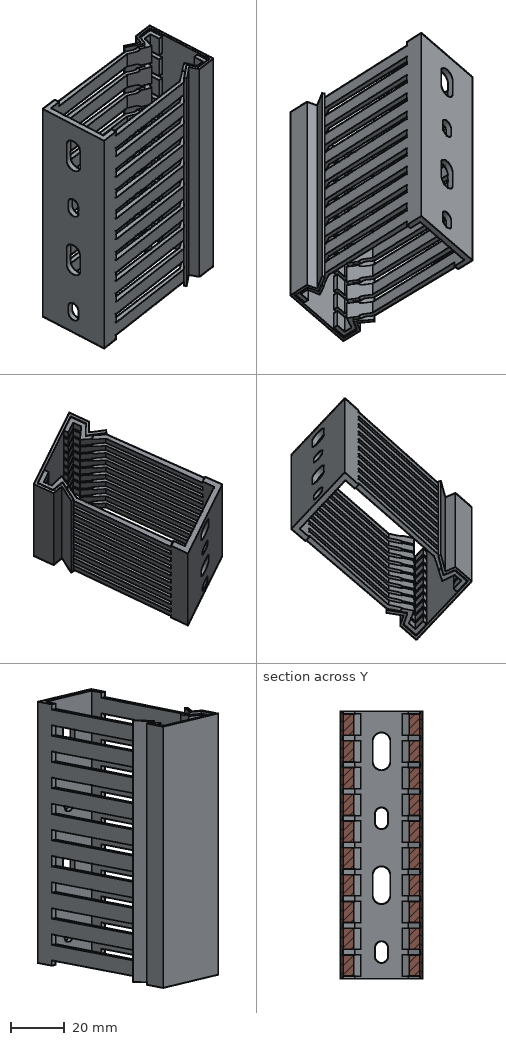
import cadquery as cq
import math


length = 100.0
depth = 63.6
cover_width = 30.8

cover_thickness = 1.1
cover_inner_half = cover_width / 2 - cover_thickness
cover_inner_y = depth - cover_thickness

shoulder_y = 56.1
notch_half = 10.0
notch_y = 54.2
flare_half = 14.3
flare_y = 47.6

base_half_width = 14.9
base_thickness = 2.3
inner_half_width = 12.7
inner_bend_y = 47.1
inner_notch_half = 7.8
inner_notch_y = 55.6
inner_shoulder_y = 57.4
lip_thickness = 1.8
lip_end_half = 8.5

pitch = 10.0
gap_width = 4.0
gap_start_y = 7.1
gap_round_y = 50.0
slit_width = 2.0

hole_spacing = 25.0
first_hole_z = 10.0
large_hole_length = 14.0
large_hole_width = 6.5
small_hole_length = 8.0
small_hole_width = 4.8


def snap_line():
    """Right half of the snap line, from the cover's free edge to its inner corner."""
    return [
        (flare_half, flare_y),
        (notch_half, notch_y),
        (cover_inner_half, shoulder_y),
        (cover_inner_half, cover_inner_y),
    ]


def left_normal(start, end):
    """Unit vector to the left of the direction from start to end."""
    dx = end[0] - start[0]
    dy = end[1] - start[1]
    span = math.hypot(dx, dy)
    return (-dy / span, dx / span)


def offset_right(path, distance):
    """Parallel copy of an open path on its right side, with sharp corners."""
    normals = [left_normal(a, b) for a, b in zip(path, path[1:])]
    before = [normals[0]] + normals
    after = normals + [normals[-1]]
    moved = []
    for (x, y), n, m in zip(path, before, after):
        reach = distance / (1 + n[0] * m[0] + n[1] * m[1])
        moved.append((x - reach * (n[0] + m[0]), y - reach * (n[1] + m[1])))
    return moved


def extrude_symmetric(right_half):
    """Extrude an outline along Z, given its right half; the left half mirrors it."""
    left_half = [(-x, y) for x, y in reversed(right_half)]
    return cq.Workplane("XY").polyline(right_half + left_half).close().extrude(length)


def make_cover():
    """Sheet of even thickness that follows the snap line."""
    inner = snap_line()
    outer = offset_right(inner + [(0, cover_inner_y)], cover_thickness)[:-1]
    return extrude_symmetric(list(reversed(inner)) + outer)


def duct_channel():
    """Duct without gaps and holes, its outside lying against the cover."""
    outside = [(base_half_width, 0)] + snap_line()
    inside = [
        (lip_end_half, cover_inner_y),
        (lip_end_half, cover_inner_y - lip_thickness),
        (inner_half_width, cover_inner_y - lip_thickness),
        (inner_half_width, inner_shoulder_y),
        (inner_notch_half, inner_notch_y),
        (inner_half_width, inner_bend_y),
        (inner_half_width, base_thickness),
    ]
    return extrude_symmetric(outside + inside)


def finger_gap(z):
    """Cutter for one gap: wide between the fingers, round-ended, then a slit."""
    radius = gap_width / 2
    reach = 2 * cover_width
    straight = gap_round_y - gap_start_y
    side = cq.Workplane("YZ", origin=(-reach / 2, 0, z))
    wide = side.center(gap_start_y + straight / 2, 0).rect(straight, gap_width).extrude(reach)
    round_end = side.center(gap_round_y, 0).circle(radius).extrude(reach)
    slit_length = depth - gap_round_y
    slit = side.center(gap_round_y + slit_length / 2, 0).rect(slit_length, slit_width).extrude(reach)
    return wide.union(round_end).union(slit)


def base_holes(first_z, hole_length, hole_width):
    """Two upright slots through the base, two hole spacings apart."""
    heights = [first_z, first_z + 2 * hole_spacing]
    return (
        cq.Workplane("XZ")
        .pushPoints([(0, z) for z in heights])
        .slot2D(hole_length, hole_width, 90)
        .extrude(-base_thickness)
    )


def make_duct():
    duct = duct_channel()
    finger_count = round(length / pitch)
    for i in range(finger_count + 1):
        duct = duct.cut(finger_gap(i * pitch))
    duct = duct.cut(base_holes(first_hole_z, small_hole_length, small_hole_width))
    large_z = first_hole_z + hole_spacing
    return duct.cut(base_holes(large_z, large_hole_length, large_hole_width))


cover = make_cover()
duct = make_duct()
result = cq.Compound.makeCompound([duct.val(), cover.val()])